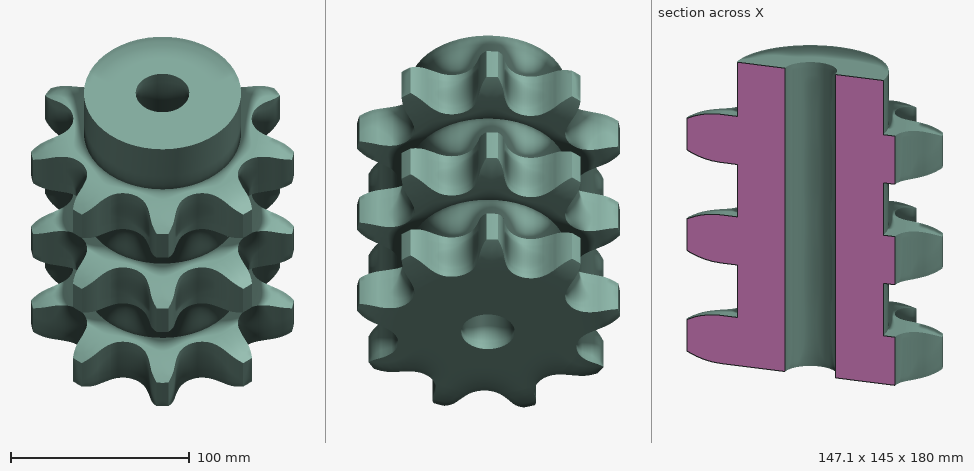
import math

import cadquery as cq

TOOTH_COUNT = 9
CHAIN_PITCH = 44.45
ROLLER_DIAMETER = 27.94
STRAND_COUNT = 3
STRAND_SPACING = 59.56
TOOTH_WIDTH = 28.8
TIP_DIAMETER = 148.4

SIDE_RADIUS = CHAIN_PITCH
SIDE_RELIEF = 5.0

HUB_DIAMETER = 88.0
BORE_DIAMETER = 30.0
OVERALL_LENGTH = 180.0

SEAT_CLEARANCE_RATIO = 1.005
SEAT_CLEARANCE = 0.076
WORKING_CENTRE_RATIO = 0.8
TOPPING_CENTRE_RATIO = 1.4
SEAT_ANGLE = math.radians(35 + 60 / TOOTH_COUNT)
WORKING_ANGLE = math.radians(18 - 56 / TOOTH_COUNT)
TOPPING_ANGLE = math.radians(17 - 64 / TOOTH_COUNT)

TIP_RADIUS = TIP_DIAMETER / 2
HALF_TOOTH_ANGLE = math.pi / TOOTH_COUNT
PITCH_RADIUS = CHAIN_PITCH / (2 * math.sin(HALF_TOOTH_ANGLE))
SEAT_RADIUS = (SEAT_CLEARANCE_RATIO * ROLLER_DIAMETER + SEAT_CLEARANCE) / 2


def polar(radius, angle):
    return (radius * math.cos(angle), radius * math.sin(angle))


def offset(point, distance, angle):
    dx, dy = polar(distance, angle)
    return (point[0] + dx, point[1] + dy)


def rotated(point, angle):
    return polar(math.hypot(*point), math.atan2(point[1], point[0]) + angle)


def direction(start, end):
    return math.atan2(end[1] - start[1], end[0] - start[0])


def arc_middle(centre, start, end):
    """Point halfway along the short arc about centre, from start to end."""
    chord_middle = ((start[0] + end[0]) / 2, (start[1] + end[1]) / 2)
    return offset(centre, math.dist(centre, start), direction(centre, chord_middle))


def flank_points():
    """One flank from root to tip, for a tooth pointing along +X, on its +Y side.

    The seat, working and topping arcs each give a middle and an end point;
    a short straight joins the working arc to the topping arc.
    """
    across = HALF_TOOTH_ANGLE - math.pi / 2
    seat_centre = polar(PITCH_RADIUS, HALF_TOOTH_ANGLE)
    root = polar(PITCH_RADIUS - SEAT_RADIUS, HALF_TOOTH_ANGLE)

    seat_direction = across - SEAT_ANGLE
    seat_end = offset(seat_centre, SEAT_RADIUS, seat_direction)

    working_offset = WORKING_CENTRE_RATIO * ROLLER_DIAMETER
    working_radius = SEAT_RADIUS + working_offset
    working_centre = offset(seat_centre, -working_offset, seat_direction)
    working_direction = seat_direction + WORKING_ANGLE
    working_end = offset(working_centre, working_radius, working_direction)

    straight_length = ROLLER_DIAMETER * (
        TOPPING_CENTRE_RATIO * math.sin(TOPPING_ANGLE) - WORKING_CENTRE_RATIO * math.sin(WORKING_ANGLE)
    )
    topping_start = offset(working_end, straight_length, working_direction + math.pi / 2)

    topping_radius = (
        ROLLER_DIAMETER
        * (
            WORKING_CENTRE_RATIO * math.cos(WORKING_ANGLE)
            + TOPPING_CENTRE_RATIO * math.cos(TOPPING_ANGLE)
        )
        - working_radius
    )
    topping_centre = offset(topping_start, topping_radius, working_direction)

    centre_distance = math.hypot(*topping_centre)
    corner_cosine = (TIP_RADIUS**2 + centre_distance**2 - topping_radius**2) / (
        2 * TIP_RADIUS * centre_distance
    )
    tip_angle = math.atan2(topping_centre[1], topping_centre[0]) + math.acos(corner_cosine)
    tip_corner = polar(TIP_RADIUS, tip_angle)

    return [
        root,
        arc_middle(seat_centre, root, seat_end),
        seat_end,
        arc_middle(working_centre, seat_end, working_end),
        working_end,
        topping_start,
        arc_middle(topping_centre, topping_start, tip_corner),
        tip_corner,
    ]


def toothed_plate():
    """Straight-sided toothed plate with one tooth gap facing +Y."""
    upper_flank = flank_points()
    lower_flank = [(x, -y) for x, y in reversed(upper_flank)]
    first_tooth_angle = math.pi / 2 + HALF_TOOTH_ANGLE

    outline = cq.Workplane("XY").moveTo(*rotated(upper_flank[0], first_tooth_angle))
    for tooth in range(TOOTH_COUNT):
        tooth_angle = first_tooth_angle - 2 * HALF_TOOTH_ANGLE * tooth
        up = [rotated(point, tooth_angle) for point in upper_flank]
        down = [rotated(point, tooth_angle) for point in lower_flank]
        outline = (
            outline.threePointArc(up[1], up[2])
            .threePointArc(up[3], up[4])
            .lineTo(*up[5])
            .threePointArc(up[6], up[7])
            .threePointArc(polar(TIP_RADIUS, tooth_angle), down[0])
            .threePointArc(down[1], down[2])
            .lineTo(*down[3])
            .threePointArc(down[4], down[5])
            .threePointArc(down[6], down[7])
        )
    return outline.close().extrude(TOOTH_WIDTH)


def rounded_disc():
    """Disc whose rim narrows on both sides along arcs tangent to its flat faces."""
    relief_angle = math.acos(1 - SIDE_RELIEF / SIDE_RADIUS)
    flat_radius = TIP_RADIUS - SIDE_RADIUS * math.sin(relief_angle)
    middle_radius = flat_radius + SIDE_RADIUS * math.sin(relief_angle / 2)
    middle_relief = SIDE_RADIUS * (1 - math.cos(relief_angle / 2))
    return (
        cq.Workplane("XZ")
        .lineTo(flat_radius, 0)
        .threePointArc((middle_radius, middle_relief), (TIP_RADIUS, SIDE_RELIEF))
        .lineTo(TIP_RADIUS, TOOTH_WIDTH - SIDE_RELIEF)
        .threePointArc((middle_radius, TOOTH_WIDTH - middle_relief), (flat_radius, TOOTH_WIDTH))
        .lineTo(0, TOOTH_WIDTH)
        .close()
        .revolve(360, (0, 0, 0), (0, 1, 0))
    )


def sprocket():
    strand = toothed_plate().intersect(rounded_disc())
    body = cq.Workplane("XY").circle(HUB_DIAMETER / 2).extrude(OVERALL_LENGTH)
    for index in range(STRAND_COUNT):
        body = body.union(strand.translate((0, 0, index * STRAND_SPACING)))
    bore = cq.Workplane("XY").circle(BORE_DIAMETER / 2).extrude(OVERALL_LENGTH)
    return body.cut(bore)


result = sprocket()